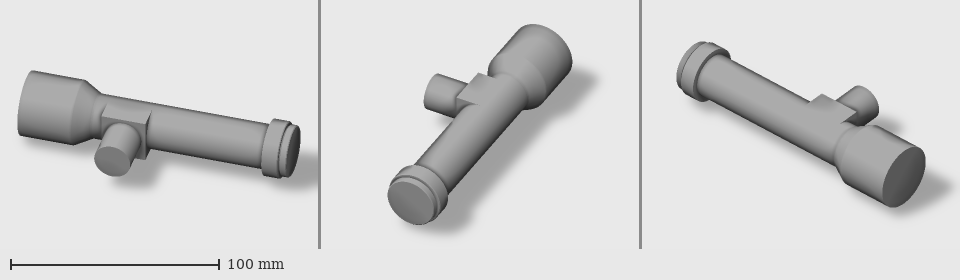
import cadquery as cq

total_length = 133.1
head_diameter = 32.0
head_length = 26.2
tube_diameter = 22.0
taper_length = 9.0
taper_blend_radius = 2.0

collar_start = 121.1
collar_end = 129.1
collar_diameter = 28.0
groove_width = 0.8
groove_diameter = 24.0
flange_diameter = 25.4
edge_chamfer = 0.4

block_center_x = 52.0
block_width = tube_diameter
block_reach = 13.0
branch_diameter = 18.0
branch_reach = 32.0

head_radius = head_diameter / 2
tube_radius = tube_diameter / 2
taper_end = head_length + taper_length
flange_start = collar_end + groove_width


def x_cylinder(start, end, diameter):
    return cq.Workplane("YZ", origin=(start, 0, 0)).circle(diameter / 2).extrude(end - start)


def make_head_and_tube():
    """Revolve the head, its taper and the tube, then round both ends of the taper."""
    profile = (
        cq.Workplane("XY")
        .polyline([
            (0, 0),
            (0, head_radius),
            (head_length, head_radius),
            (taper_end, tube_radius),
            (collar_start, tube_radius),
            (collar_start, 0),
        ])
        .close()
    )
    body = profile.revolve(360, (0, 0, 0), (1, 0, 0))
    taper_edges = cq.selectors.BoxSelector(
        (head_length - taper_blend_radius, -head_radius, -head_radius),
        (taper_end + taper_blend_radius, head_radius, head_radius),
    )
    return body.edges(taper_edges).edges("%CIRCLE").fillet(taper_blend_radius)


def make_end_fitting():
    """Build the collar and the flange, with a narrow groove between them."""
    collar = x_cylinder(collar_start, collar_end, collar_diameter).faces(">X").chamfer(edge_chamfer)
    groove = x_cylinder(collar_end, flange_start, groove_diameter)
    flange = x_cylinder(flange_start, total_length, flange_diameter).faces(">X").chamfer(edge_chamfer)
    return collar.union(groove).union(flange)


def make_branch():
    """Build the square block from the tube axis outwards and the round branch on it."""
    block = cq.Workplane("XY").box(
        block_width, block_reach, tube_diameter, centered=(True, False, True)
    ).translate((block_center_x, -block_reach, 0))
    pipe = (
        cq.Workplane("XZ", origin=(block_center_x, -block_reach, 0))
        .circle(branch_diameter / 2)
        .extrude(branch_reach - block_reach)
    )
    return block.union(pipe)


result = make_head_and_tube().union(make_end_fitting()).union(make_branch())